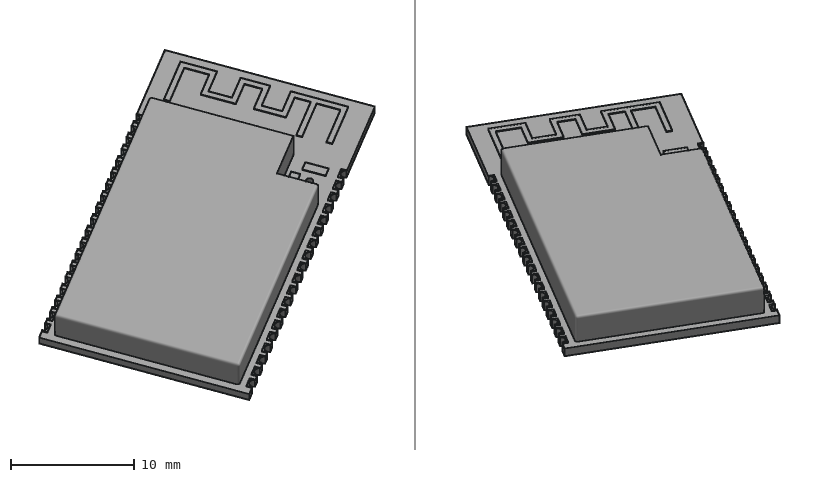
import cadquery as cq

BOARD_WIDTH = 18.0
BOARD_LENGTH = 31.4
BOARD_THICKNESS = 0.8
COPPER_THICKNESS = 0.1
LEFT = -BOARD_WIDTH / 2
BACK = BOARD_LENGTH / 2
FRONT = -BOARD_LENGTH / 2

TOTAL_HEIGHT = 3.33
CAN_SIDE_INSET = 1.07
CAN_FRONT_INSET = 0.63
CAN_BACK_INSET = 6.8
CAN_ROUNDING = 0.22
NOTCH_WIDTH = 3.55
NOTCH_LENGTH = 4.2

PAD_COUNT = 19
PAD_PITCH = 1.27
PAD_WIDTH = 0.85
PAD_DEPTH = 0.47
CUTOUT_RADIUS = 0.35
FIRST_PAD_FROM_BACK = 7.47

TRACE_WIDTH = 0.5
TRACE_BACK = 1.05
TRACE_FOLD = 3.2
TRACE_END = 4.93
FEED_END = 4.8
MEANDER_X = (1.85, 4.5, 7.0, 9.05, 11.3)
GROUND_LEG_X = 13.2
FEED_LEG_X = 15.73

HOLE_FROM_LEFT = 15.48
HOLE_FROM_BACK = 9.0
HOLE_DIAMETER = 0.6
LONG_PAD_LENGTH = 2.0
TEST_PAD_SIZE = 0.8
LONG_PAD_FROM_LEFT = 15.55
LONG_PAD_OFFSET = 1.3
SQUARE_PAD_FROM_LEFT = 14.15


def block(x_min, x_max, y_min, y_max, z_min, z_max):
    """Box given by its limits along each axis."""
    size = (x_max - x_min, y_max - y_min, z_max - z_min)
    return cq.Workplane("XY").box(*size, centered=False).translate((x_min, y_min, z_min))


def copper(from_left, from_back, width, length):
    """Copper rectangle placed by its centre; it starts at Z = 0 so that it merges with the board."""
    return (
        cq.Workplane("XY")
        .box(width, length, BOARD_THICKNESS + COPPER_THICKNESS, centered=(True, True, False))
        .translate((LEFT + from_left, BACK - from_back, 0))
    )


def trace(start, end):
    """Straight antenna stretch between two centre points, with square ends half a width beyond them."""
    width = abs(end[0] - start[0]) + TRACE_WIDTH
    length = abs(end[1] - start[1]) + TRACE_WIDTH
    return copper((start[0] + end[0]) / 2, (start[1] + end[1]) / 2, width, length)


def make_antenna():
    end_y = TRACE_END - TRACE_WIDTH / 2
    feed_y = FEED_END - TRACE_WIDTH / 2
    points = [(MEANDER_X[0], end_y)]
    y = TRACE_BACK
    for x, next_x in zip(MEANDER_X, MEANDER_X[1:]):
        points.append((x, y))
        points.append((next_x, y))
        y = TRACE_FOLD if y == TRACE_BACK else TRACE_BACK
    points.append((MEANDER_X[-1], TRACE_BACK))
    points.append((FEED_LEG_X, TRACE_BACK))
    points.append((FEED_LEG_X, feed_y))

    antenna = trace((GROUND_LEG_X, TRACE_BACK), (GROUND_LEG_X, end_y))
    for start, end in zip(points, points[1:]):
        antenna = antenna.union(trace(start, end))
    return antenna


def make_can():
    right = -LEFT - CAN_SIDE_INSET
    back = BACK - CAN_BACK_INSET
    can = block(LEFT + CAN_SIDE_INSET, right, FRONT + CAN_FRONT_INSET, back, 0, TOTAL_HEIGHT)
    can = can.edges("|Z or >Z").fillet(CAN_ROUNDING)
    notch = block(right - NOTCH_WIDTH, right, back - NOTCH_LENGTH, back, 0, TOTAL_HEIGHT)
    return can.cut(notch)


def edge_pad_centres():
    return [
        (side * BOARD_WIDTH / 2, BACK - FIRST_PAD_FROM_BACK - i * PAD_PITCH)
        for side in (-1, 1)
        for i in range(PAD_COUNT)
    ]


def make_edge_pads():
    height = BOARD_THICKNESS + COPPER_THICKNESS
    pads = (
        cq.Workplane("XY")
        .pushPoints(edge_pad_centres())
        .rect(2 * PAD_DEPTH, PAD_WIDTH)
        .extrude(height)
    )
    return pads.intersect(block(LEFT, -LEFT, FRONT, BACK, 0, height))


def make_test_pads():
    pads = copper(SQUARE_PAD_FROM_LEFT, HOLE_FROM_BACK, TEST_PAD_SIZE, TEST_PAD_SIZE)
    for offset in (-LONG_PAD_OFFSET, LONG_PAD_OFFSET):
        pads = pads.union(
            copper(LONG_PAD_FROM_LEFT, HOLE_FROM_BACK + offset, LONG_PAD_LENGTH, TEST_PAD_SIZE)
        )
    return pads


board = block(LEFT, -LEFT, FRONT, BACK, 0, BOARD_THICKNESS)
cutouts = cq.Workplane("XY").pushPoints(edge_pad_centres()).circle(CUTOUT_RADIUS).extrude(TOTAL_HEIGHT)
hole = (
    cq.Workplane("XY")
    .center(LEFT + HOLE_FROM_LEFT, BACK - HOLE_FROM_BACK)
    .circle(HOLE_DIAMETER / 2)
    .extrude(TOTAL_HEIGHT)
)

result = (
    board.union(make_edge_pads())
    .union(make_antenna())
    .union(make_test_pads())
    .union(make_can())
    .cut(cutouts)
    .cut(hole)
)